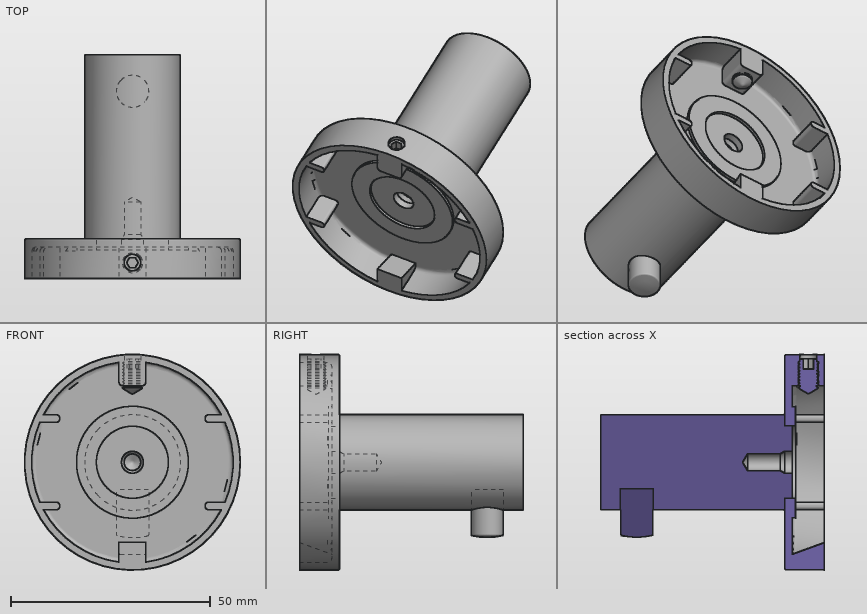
import cadquery as cq
import math

total_length = 56.0

flange_radius = 27.0
flange_depth = 10.0
flange_back_fillet = 0.5
wall_thickness = 1.8
floor_depth = 8.0
floor_fillet = 1.05
cavity_radius = flange_radius - wall_thickness

boss_radius = 14.0
boss_height = 0.8

post_radius = 12.0
post_end_fillet = 0.3
spigot_radius = 9.0
spigot_recess = 0.8
boss_face = floor_depth - boss_height
spigot_face = boss_face + spigot_recess

counterbore_radius = 2.75
counterbore_depth = 1.9
countersink_half_angle = 30.0
tap_radius = 2.1
tap_depth = 11.2
drill_half_angle = 59.0

rib_thickness = 1.85
rib_height = 10.9
rib_tip = 18.2
rib_tip_fillet = 0.8

block_width = 6.7
top_block_face = 19.1
top_block_fillet = 1.0
wedge_face = 20.05
wedge_angle = 20.0

screw_y = 4.05
screw_core_radius = 2.1
screw_crest_radius = 2.5
thread_pitch = 0.8
thread_turns = 9
screw_top = 25.9
screw_shoulder = 18.2
screw_point_half_angle = 60.0
hex_across_flats = 2.5
hex_depth = 2.5

peg_radius = 4.05
peg_from_end = 9.1
peg_tip = 18.8
peg_root = 6.7
peg_dome_height = 0.5
peg_edge_fillet = 0.4
peg_y = total_length - peg_from_end


def y_cylinder(radius, y_start, y_end):
    """Cylinder around the Y axis."""
    base = cq.Workplane("XZ", origin=(0, y_start, 0))
    return base.circle(radius).extrude(y_start - y_end)


def z_cylinder(radius, y, z_start, z_end):
    """Upright cylinder in the plane x = 0."""
    base = cq.Workplane("XY", origin=(0, y, z_start))
    return base.circle(radius).extrude(z_end - z_start)


def rib(side, level):
    """Flat rib that runs from the wall towards the middle, with a rounded tip."""
    length = flange_radius - rib_tip
    blank = cq.Workplane("XY").box(length, floor_depth, rib_thickness)
    tip_edges = "|Y and <X" if side > 0 else "|Y and >X"
    blank = blank.edges(tip_edges).fillet(rib_tip_fillet)
    return blank.translate((side * (rib_tip + length / 2), floor_depth / 2, level * rib_height))


def top_block():
    """Straight block that carries the set screw."""
    height = flange_radius - top_block_face
    blank = cq.Workplane("XY").box(block_width, floor_depth, height)
    blank = blank.edges("|Y and <Z").fillet(top_block_fillet)
    return blank.translate((0, floor_depth / 2, top_block_face + height / 2))


def bottom_wedge():
    """Block whose upper face falls away from the rim towards the floor."""
    floor_face = wedge_face + floor_depth * math.tan(math.radians(wedge_angle))
    outline = [
        (0, -wedge_face),
        (floor_depth, -floor_face),
        (floor_depth, -flange_radius),
        (0, -flange_radius),
    ]
    return cq.Workplane("YZ").polyline(outline).close().extrude(block_width / 2, both=True)


def screw_blank():
    """Set screw without its socket; the thread is a row of ring-shaped ridges."""
    point_length = screw_core_radius / math.tan(math.radians(screw_point_half_angle))
    profile = [(0, screw_shoulder - point_length), (screw_core_radius, screw_shoulder)]
    for turn in range(thread_turns):
        root = screw_shoulder + turn * thread_pitch
        profile.append((screw_crest_radius, root + thread_pitch / 2))
        profile.append((screw_core_radius, root + thread_pitch))
    profile.append((screw_core_radius, screw_top))
    profile.append((0, screw_top))
    half = cq.Workplane("XZ", origin=(0, screw_y, 0)).polyline(profile).close()
    return half.revolve(360, (0, 0, 0), (0, 1, 0))


def make_flange():
    outer = y_cylinder(flange_radius, 0, flange_depth)
    outer = outer.faces(">Y").edges().fillet(flange_back_fillet)
    cavity = y_cylinder(cavity_radius, 0, floor_depth)
    cavity = cavity.faces(">Y").edges().fillet(floor_fillet)
    inserts = top_block().union(bottom_wedge())
    for side in (-1, 1):
        for level in (-1, 1):
            inserts = inserts.union(rib(side, level))
    envelope = y_cylinder(flange_radius - wall_thickness / 2, 0, floor_depth)
    body = outer.cut(cavity).union(inserts.intersect(envelope))
    body = body.union(y_cylinder(boss_radius, boss_face, floor_depth))
    body = body.cut(y_cylinder(spigot_radius, 0, flange_depth))
    body = body.cut(z_cylinder(screw_core_radius, screw_y, 0, flange_radius))
    return body.cut(screw_blank())


def make_post():
    post = y_cylinder(post_radius, flange_depth, total_length)
    post = post.faces(">Y").edges().fillet(post_end_fillet)
    post = post.union(y_cylinder(spigot_radius, spigot_face, flange_depth))
    step_width = counterbore_radius - tap_radius
    countersink_depth = step_width / math.tan(math.radians(countersink_half_angle))
    point_length = tap_radius / math.tan(math.radians(drill_half_angle))
    hole_profile = [
        (0, spigot_face),
        (counterbore_radius, spigot_face),
        (counterbore_radius, spigot_face + counterbore_depth),
        (tap_radius, spigot_face + counterbore_depth + countersink_depth),
        (tap_radius, spigot_face + tap_depth),
        (0, spigot_face + tap_depth + point_length),
    ]
    stepped_hole = cq.Workplane("XY").polyline(hole_profile).close().revolve(360, (0, 0, 0), (0, 1, 0))
    return post.cut(stepped_hole).cut(z_cylinder(peg_radius, peg_y, -peg_root, -post_radius))


def make_peg():
    profile = (
        cq.Workplane("XZ", origin=(0, peg_y, 0))
        .moveTo(0, -peg_root)
        .lineTo(peg_radius, -peg_root)
        .lineTo(peg_radius, -peg_tip + peg_dome_height)
        .radiusArc((0, -peg_tip), (peg_radius**2 + peg_dome_height**2) / (2 * peg_dome_height))
        .close()
    )
    peg = profile.revolve(360, (0, 0, 0), (0, 1, 0))
    return peg.faces("<Z").edges("%CIRCLE").fillet(peg_edge_fillet)


def make_set_screw():
    hex_across_corners = hex_across_flats / math.cos(math.pi / 6)
    top = cq.Workplane("XY", origin=(0, screw_y, screw_top))
    return screw_blank().cut(top.polygon(6, hex_across_corners).extrude(-hex_depth))


flange = make_flange()
post = make_post()
peg = make_peg()
set_screw = make_set_screw()

result = cq.Compound.makeCompound([flange.val(), post.val(), peg.val(), set_screw.val()])